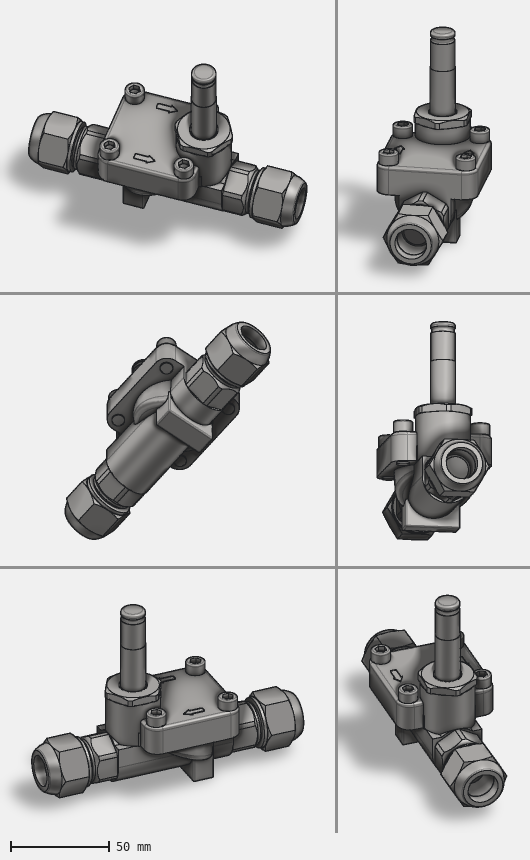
import cadquery as cq
import math


body_left = -30.7
body_right = 33.5
body_radius = 13.4
body_top = 10.4

cover_left = body_left
cover_length = 52.2
cover_width = 52.0
cover_bottom = 10.3
cover_top = 25.7
cover_corner_radius = 7.1
cover_edge_fillet = 1.9
cover_x = cover_left + cover_length / 2

bolt_pitch = 39.9
bolt_head_diameter = 10.0
bolt_head_height = 6.0
bolt_head_fillet = 0.9
bolt_shank_diameter = 6.5
bolt_shank_projection = 0.9
socket_corner_diameter = 6.0
socket_depth = 2.9
socket_tip_depth = 1.4

arrow_tail = -11.8
arrow_neck = -4.7
arrow_tip = -0.7
arrow_shaft_width = 3.3
arrow_head_width = 5.1
arrow_offset = 18.0
arrow_height = 0.4
arrow_tail_fillet = 0.5

chamber_radius = 20.5
chamber_draft = 3.0
chamber_floor_tilt = 25.0
chamber_floor_mid = -2.1
chamber_fillet = 3.5
chamber_depth = 28.5

block_left = -19.4
block_right = -8.1
block_width = 28.2
block_bottom = -18.1
block_edge_fillet = 0.7

tower_x = 19.4
tower_radius = 14.1
tower_top = 34.2
step_right = 22.7
step_top = 18.0
cap_across_flats = 27.4
cap_rounding_diameter = 30.4
cap_face_diameter = 26.8
cap_top = 38.5
cap_recess_diameter = 14.5
cap_recess_depth = 0.5

stem_radius = 13.0 / 2
stem_upper_radius = 12.7 / 2
stem_shoulder = 62.6
groove_bottom = 77.3
groove_top = 80.0
groove_rim_radius = 6.1
groove_root_radius = 11.5 / 2
stem_top = 82.5
stem_top_fillet = 1.5

fitting_end = 71.3
end_face_radius = 10.7
end_rim_radius = 11.3
end_rim = 70.7
nose_bulge = 0.4
nut_outer = 65.3
nut_inner = 49.9
nut_across_flats = 27.0
nut_flange = 48.2
nut_flange_radius = 13.1
neck_radius = 10.3
collar_outer = 46.9
collar_inner = 45.5
collar_radius = 22.7 / 2
adapter_across_flats = 24.1
adapter_rounding_radius = 13.3
bore_mouth_radius = 8.1
bore_mouth_depth = 6.0
bore_radius = 8.0
bore_depth = 18.5
seat_face_radius = 6.5
seat_height = 1.7

hex_chamfer_angle = math.radians(30)
hex_half_angle = math.radians(30)


def corner_diameter(across_flats):
    return across_flats / math.cos(hex_half_angle)


def revolve_about_x(points):
    """Turn (x, radius) points, closed along the X axis, into a solid."""
    closed = [(points[0][0], 0)] + points + [(points[-1][0], 0)]
    profile = cq.Workplane("XY").polyline(closed).close()
    return profile.revolve(360, (0, 0, 0), (1, 0, 0))


def hex_along_x(start, end, across_flats, turn):
    prism = cq.Workplane("YZ").workplane(offset=start)
    prism = prism.polygon(6, corner_diameter(across_flats)).extrude(end - start)
    return prism.rotate((0, 0, 0), (1, 0, 0), turn)


def make_body():
    length = body_right - body_left
    tube = cq.Workplane("YZ").workplane(offset=body_left).circle(body_radius).extrude(length)
    saddle = cq.Workplane("XY").box(length, 2 * body_radius, body_top, centered=(False, True, False))
    return tube.union(saddle.translate((body_left, 0, 0)))


def make_cover():
    plate = cq.Workplane("XY").box(cover_length, cover_width, cover_top - cover_bottom,
                                   centered=(True, True, False))
    plate = plate.edges("|Z").fillet(cover_corner_radius)
    plate = plate.faces(">Z").edges().fillet(cover_edge_fillet)
    return plate.translate((cover_x, 0, cover_bottom))


def make_bolt():
    head_top = cover_top + bolt_head_height
    shank_bottom = cover_bottom - bolt_shank_projection
    head = cq.Workplane("XY").workplane(offset=cover_top)
    head = head.circle(bolt_head_diameter / 2).extrude(bolt_head_height)
    head = head.faces(">Z").edges().fillet(bolt_head_fillet)
    socket = cq.Workplane("XY").workplane(offset=head_top)
    socket = socket.polygon(6, socket_corner_diameter).extrude(-socket_depth)
    tip_radius = socket_corner_diameter / 2 * math.cos(hex_half_angle)
    tip = cq.Solid.makeCone(tip_radius, 0, socket_tip_depth,
                            cq.Vector(0, 0, head_top - socket_depth), cq.Vector(0, 0, -1))
    shank = cq.Workplane("XY").workplane(offset=shank_bottom)
    shank = shank.circle(bolt_shank_diameter / 2).extrude(cover_top - shank_bottom)
    return head.cut(socket).cut(cq.Workplane(tip)).union(shank)


def make_arrow():
    shaft = arrow_shaft_width / 2
    head = arrow_head_width / 2
    outline = [(arrow_tail, -shaft), (arrow_neck, -shaft), (arrow_neck, -head), (arrow_tip, 0),
               (arrow_neck, head), (arrow_neck, shaft), (arrow_tail, shaft)]
    arrow = cq.Workplane("XY").workplane(offset=cover_top).polyline(outline).close()
    arrow = arrow.extrude(arrow_height)
    return arrow.faces("<X").edges("|Z").fillet(arrow_tail_fillet)


def make_chamber():
    """Drafted round chamber with a sloping floor that rises toward +X."""
    chamber = cq.Workplane("XY").workplane(offset=cover_bottom).circle(chamber_radius)
    chamber = chamber.extrude(-chamber_depth, taper=chamber_draft)
    size = 4 * chamber_radius
    below_floor = cq.Workplane("XY").box(size, size, size).translate((0, 0, -size / 2))
    below_floor = below_floor.rotate((0, 0, 0), (0, 1, 0), -chamber_floor_tilt)
    chamber = chamber.cut(below_floor.translate((0, 0, chamber_floor_mid)))
    chamber = chamber.faces("<Z").edges().fillet(chamber_fillet)
    return chamber.translate((cover_x, 0, 0))


def make_block():
    block = cq.Workplane("XY").box(block_right - block_left, block_width, -block_bottom,
                                   centered=(False, True, False))
    block = block.edges("|Z or <Z").fillet(block_edge_fillet)
    return block.translate((block_left, 0, block_bottom))


def make_tower():
    tower = cq.Workplane("XY").workplane(offset=cover_bottom).center(tower_x, 0)
    tower = tower.circle(tower_radius).extrude(tower_top - cover_bottom)
    step = cq.Workplane("XY").workplane(offset=cover_bottom)
    step = step.center((cover_x + step_right) / 2, 0)
    step = step.rect(step_right - cover_x, 2 * tower_radius).extrude(step_top - cover_bottom)
    return tower.union(step)


def make_cap():
    """Hexagonal cap nut with turned-down corners and a conical top edge."""
    height = cap_top - tower_top
    rounding = cap_rounding_diameter / 2
    face = cap_face_diameter / 2
    chamfer = (rounding - face) * math.tan(hex_chamfer_angle)
    envelope = cq.Workplane("XZ").polyline([
        (0, 0), (rounding, 0), (rounding, height - chamfer), (face, height), (0, height)])
    envelope = envelope.close().revolve(360, (0, 0, 0), (0, 1, 0))
    cap = cq.Workplane("XY").polygon(6, corner_diameter(cap_across_flats)).extrude(height)
    recess = cq.Workplane("XY").workplane(offset=height).circle(cap_recess_diameter / 2)
    cap = cap.intersect(envelope).cut(recess.extrude(-cap_recess_depth))
    return cap.translate((tower_x, 0, tower_top))


def make_stem():
    """Stepped stem with a rounded-bottom groove below a rounded head."""
    groove_middle = (groove_bottom + groove_top) / 2
    profile = (
        cq.Workplane("XZ")
        .moveTo(0, tower_top)
        .lineTo(stem_radius, tower_top)
        .lineTo(stem_radius, stem_shoulder)
        .lineTo(stem_upper_radius, stem_shoulder)
        .lineTo(stem_upper_radius, groove_bottom)
        .lineTo(groove_rim_radius, groove_bottom)
        .threePointArc((groove_root_radius, groove_middle), (groove_rim_radius, groove_top))
        .lineTo(stem_upper_radius, groove_top)
        .lineTo(stem_upper_radius, stem_top)
        .lineTo(0, stem_top)
        .close()
    )
    stem = profile.revolve(360, (0, 0, 0), (0, 1, 0))
    stem = stem.faces(">Z").edges().fillet(stem_top_fillet)
    return stem.translate((tower_x, 0, 0))


def make_fitting(body_end):
    """Compression fitting toward +X, starting at the end of the body."""
    lead_start = collar_inner - (adapter_rounding_radius - collar_radius)
    adapter = revolve_about_x([
        (body_end, adapter_rounding_radius), (lead_start, adapter_rounding_radius),
        (collar_inner, collar_radius)])
    adapter = adapter.intersect(hex_along_x(body_end, collar_inner, adapter_across_flats, 30))

    flat = nut_across_flats / 2
    corner = corner_diameter(nut_across_flats) / 2
    chamfer = (corner - flat) * math.tan(hex_chamfer_angle)
    nut = revolve_about_x([
        (nut_inner, flat), (nut_inner + chamfer, corner), (nut_outer - chamfer, corner), (nut_outer, flat)])
    nut = nut.intersect(hex_along_x(nut_inner, nut_outer, nut_across_flats, 0))

    turned = revolve_about_x([
        (collar_inner, collar_radius), (collar_outer, collar_radius), (collar_outer, neck_radius),
        (nut_flange, neck_radius), (nut_flange, nut_flange_radius), (nut_inner, nut_flange_radius)])
    nose_middle = ((nut_outer + end_rim) / 2, (flat + end_rim_radius) / 2 + nose_bulge)
    nose = (
        cq.Workplane("XY")
        .moveTo(nut_outer, 0)
        .lineTo(nut_outer, flat)
        .threePointArc(nose_middle, (end_rim, end_rim_radius))
        .lineTo(fitting_end, end_face_radius)
        .lineTo(fitting_end, 0)
        .close()
        .revolve(360, (0, 0, 0), (1, 0, 0))
    )

    bore = revolve_about_x([
        (fitting_end - bore_depth, bore_radius), (fitting_end - bore_mouth_depth, bore_radius),
        (fitting_end - bore_mouth_depth, bore_mouth_radius), (fitting_end, bore_mouth_radius)])
    seat = revolve_about_x([
        (fitting_end - bore_depth, bore_radius), (fitting_end - bore_depth + seat_height, seat_face_radius)])
    bore = bore.cut(seat)
    return adapter.union(turned).union(nut).union(nose).cut(bore)


result = make_body().union(make_cover()).union(make_chamber()).union(make_block())
result = result.union(make_tower()).union(make_cap()).union(make_stem())

for side_x in (-1, 1):
    for side_y in (-1, 1):
        bolt_place = (cover_x + side_x * bolt_pitch / 2, side_y * bolt_pitch / 2, 0)
        result = result.union(make_bolt().translate(bolt_place))

for side in (-1, 1):
    result = result.union(make_arrow().translate((0, side * arrow_offset, 0)))

result = result.union(make_fitting(body_right))
result = result.union(make_fitting(-body_left).mirror("YZ"))